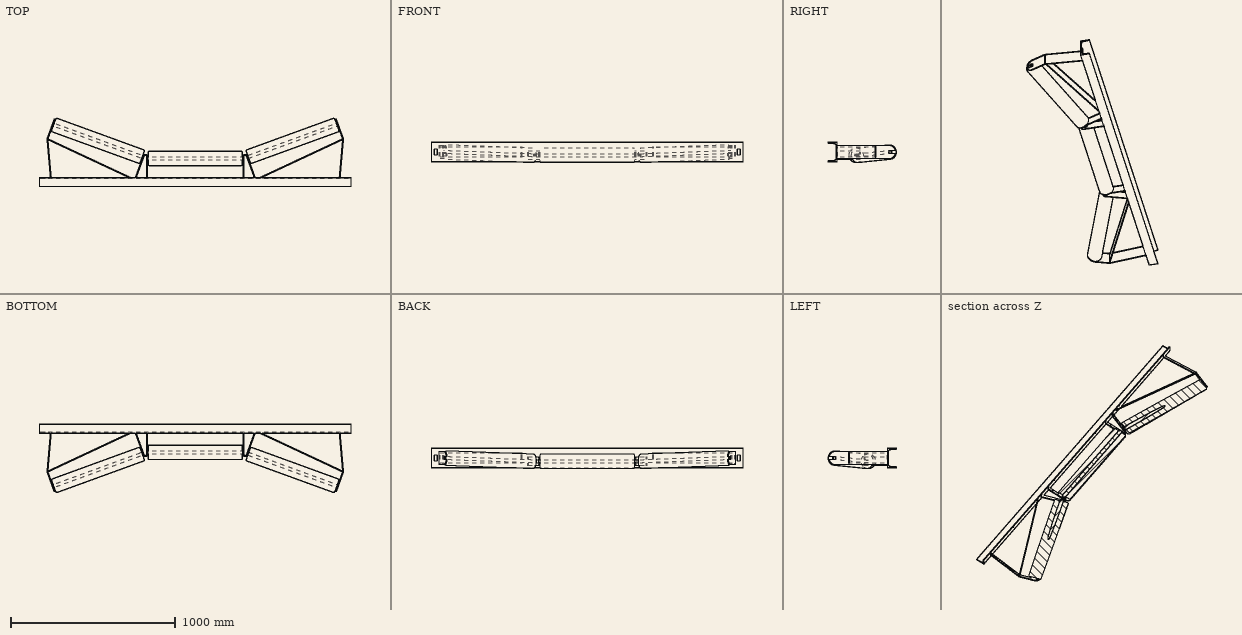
import cadquery as cq
import math


beam_length = 1900
beam_height = 120
flange_width = 55
web_thickness = 7
flange_thickness = 9
flange_slope = 0.08
root_radius = 9
toe_radius = 4.5
mount_slot_width = 18
mount_slot_length = 34
mount_slot_inset = 27

roller_length = 574
roller_radius = 44.5
shaft_diameter = 18
roller_end_rounding = 8
end_gap = 3

plate_thickness = 6
plate_width = 80
inner_plate_width = 50
fork_round_drop = 6
brace_thickness = 5
brace_width = 60
clear_span = roller_length + 2 * end_gap
support_pitch = clear_span + plate_thickness

trough_angle = 20
forward_tilt = 2
level_axis_height = 116
level_axis_z = -20
wing_axis_x = -868
wing_axis_y = 323.7
bend_drop = 95
leg_foot_x = -880
brace_foot_x = -399
arch_radius = 11

sin_trough = math.sin(math.radians(trough_angle))
cos_trough = math.cos(math.radians(trough_angle))


def along_wing(inward, up):
    """Point in the XY plane, measured from the wing axis point along and across the wing roller."""
    x = wing_axis_x + inward * cos_trough + up * sin_trough
    y = wing_axis_y - inward * sin_trough + up * cos_trough
    return x, y


def mirrored(shape):
    return shape.mirror("YZ")


def place_wing(shape):
    """Moves a shape built around the X axis onto the left wing axis."""
    return (
        shape.rotate((0, 0, 0), (0, 1, 0), forward_tilt)
        .rotate((0, 0, 0), (0, 0, 1), -trough_angle)
        .translate((wing_axis_x, wing_axis_y, 0))
    )


def place_level(shape):
    return shape.translate((-support_pitch / 2, level_axis_height, level_axis_z))


def make_roller():
    """Roller along +X, bored for its shaft, with its axis starting in the outer support's middle plane."""
    start = plate_thickness / 2 + end_gap
    return (
        cq.Workplane("YZ", origin=(start, 0, 0))
        .circle(roller_radius)
        .extrude(roller_length)
        .edges()
        .fillet(roller_end_rounding)
        .cut(make_shaft())
    )


def make_shaft():
    """Shaft along +X, its ends flush with the outsides of the two supports."""
    return (
        cq.Workplane("YZ", origin=(-plate_thickness / 2, 0, 0))
        .circle(shaft_diameter / 2)
        .extrude(support_pitch + plate_thickness)
    )


def make_slot_cutter(x):
    """Round-bottomed slot around the shaft at x, open toward +Y."""
    depth = 4 * plate_thickness
    radius = shaft_diameter / 2
    mouth_y = plate_width / 2
    return (
        cq.Workplane("YZ", origin=(x - depth / 2, 0, 0))
        .moveTo(mouth_y, radius)
        .lineTo(0, radius)
        .threePointArc((-radius, 0), (0, -radius))
        .lineTo(mouth_y, -radius)
        .close()
        .extrude(depth)
    )


def inner_flange_z(y):
    """Height of the tapered inner face of the upper flange at y."""
    return beam_height / 2 - flange_thickness - (y + flange_width / 2) * flange_slope


def make_beam():
    half_height = beam_height / 2
    toe_z = inner_flange_z(-flange_width)
    root_z = inner_flange_z(-web_thickness)
    upper_half = (
        cq.Workplane("YZ", origin=(-beam_length / 2, 0, 0))
        .lineTo(0, half_height)
        .lineTo(-flange_width, half_height)
        .lineTo(-flange_width, toe_z)
        .lineTo(-web_thickness, root_z)
        .lineTo(-web_thickness, 0)
        .close()
        .extrude(beam_length)
        .edges(cq.selectors.NearestToPointSelector((0, -web_thickness, root_z)))
        .fillet(root_radius)
        .edges(cq.selectors.NearestToPointSelector((0, -flange_width, toe_z)))
        .fillet(toe_radius)
    )
    slot_x = beam_length / 2 - mount_slot_inset
    mount_slots = (
        cq.Workplane("XZ")
        .pushPoints([(-slot_x, 0), (slot_x, 0)])
        .rect(mount_slot_width, mount_slot_length)
        .extrude(web_thickness)
    )
    return upper_half.union(upper_half.mirror("XY")).cut(mount_slots)


def make_flat_plate(start, end, thickness, width):
    """Flat plate standing on a line in the XY plane, centred on Z = 0."""
    dx = end[0] - start[0]
    dy = end[1] - start[1]
    length = math.hypot(dx, dy)
    return (
        cq.Workplane("XY")
        .box(length, thickness, width)
        .rotate((0, 0, 0), (0, 0, 1), math.degrees(math.atan2(dy, dx)))
        .translate(((start[0] + end[0]) / 2, (start[1] + end[1]) / 2, 0))
    )


def make_outer_support():
    """Leg bent into a fork for the wing roller's outer end, with a brace from the bend to the beam."""
    half = plate_thickness / 2
    bend = along_wing(0, -bend_drop)
    leg_lean = math.degrees(math.atan2(leg_foot_x - bend[0], bend[1]))
    bend_angle = math.radians(trough_angle + leg_lean)
    miter = half * math.tan(bend_angle / 2)
    outer = along_wing(-half, -bend_drop - miter)
    inner = along_wing(half, -bend_drop + miter)
    run = half / math.cos(math.radians(leg_lean))
    plate = (
        cq.Workplane("XY", origin=(0, 0, -plate_width / 2))
        .polyline([
            along_wing(-half, -fork_round_drop),
            outer,
            (leg_foot_x - run, 0),
            (leg_foot_x + run, 0),
            inner,
            along_wing(half, -fork_round_drop),
        ])
        .close()
        .extrude(plate_width)
    )
    round_end = (
        cq.Workplane("YZ", origin=(-half, 0, 0))
        .circle(plate_width / 2)
        .extrude(plate_thickness)
        .rotate((0, 0, 0), (0, 0, 1), -trough_angle)
        .translate((*along_wing(0, -fork_round_drop), 0))
    )
    brace = make_flat_plate(bend, (brace_foot_x, 0), brace_thickness, brace_width)
    return plate.union(round_end).union(brace).cut(place_wing(make_slot_cutter(0)))


def make_inner_support():
    """Strip bent over a round top: a vertical leg for the level roller, a leaning leg for the wing roller."""
    vertical_x = -support_pitch / 2
    half = plate_thickness / 2
    lean_x, lean_y = along_wing(support_pitch, 0)
    lean_foot_x = lean_x - lean_y * sin_trough / cos_trough
    centre_x = vertical_x - arch_radius
    centre_y = ((centre_x - lean_foot_x) * cos_trough - arch_radius) / sin_trough
    run = half / cos_trough

    def on_arch(radius, angle):
        a = math.radians(angle)
        return centre_x + radius * math.cos(a), centre_y + radius * math.sin(a)

    lean_end = 180 - trough_angle
    middle = lean_end / 2
    outside = arch_radius + half
    inside = arch_radius - half
    profile = (
        cq.Workplane("XY", origin=(0, 0, level_axis_z - inner_plate_width / 2))
        .moveTo(vertical_x + half, 0)
        .lineTo(*on_arch(outside, 0))
        .threePointArc(on_arch(outside, middle), on_arch(outside, lean_end))
        .lineTo(lean_foot_x - run, 0)
        .lineTo(lean_foot_x + run, 0)
        .lineTo(*on_arch(inside, lean_end))
        .threePointArc(on_arch(inside, middle), on_arch(inside, 0))
        .lineTo(vertical_x - half, 0)
        .close()
        .extrude(inner_plate_width)
    )
    return profile.cut(place_level(make_slot_cutter(0))).cut(place_wing(make_slot_cutter(support_pitch)))


frame = make_beam()
for support in (make_outer_support(), make_inner_support()):
    frame = frame.union(support).union(mirrored(support))

rollers = []
shafts = []
for bodies, body in ((rollers, make_roller()), (shafts, make_shaft())):
    wing_body = place_wing(body)
    bodies.extend([wing_body.val(), place_level(body).val(), mirrored(wing_body).val()])

result = cq.Compound.makeCompound([frame.val(), *rollers, *shafts])